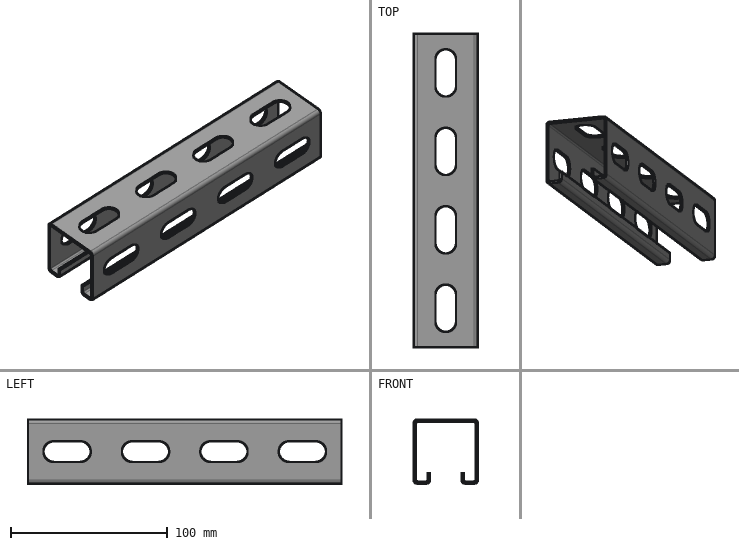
import cadquery as cq

width = 41.0
height = 41.0
length = 200.0

thickness = 1.5
bend_inner_radius = 1.0
bend_outer_radius = bend_inner_radius + thickness
mouth_width = 20.0
lip_height = 7.0

slot_length = 30.0
slot_width = 13.0
slot_pitch = 50.0
slot_count = 4

top = height / 2
bottom = -height / 2
inner_top = top - thickness
inner_bottom = bottom + thickness
lip_top = bottom + lip_height
outer_x = width / 2
inner_x = outer_x - thickness
mouth_x = mouth_width / 2
lip_back_x = mouth_x + thickness

outer_corners = [(mouth_x, bottom), (outer_x, bottom), (outer_x, top)]
inner_corners = [(inner_x, inner_top), (inner_x, inner_bottom), (lip_back_x, inner_bottom)]


def mirrored(points):
    """The (X, Z) points reflected to the left half, in reverse order."""
    return [(-x, z) for x, z in reversed(points)]


def square_channel():
    """Channel with two inturned lips and sharp bends, extruded along Y."""
    lip_end = [(lip_back_x, lip_top), (mouth_x, lip_top)]
    right_half = inner_corners + lip_end + outer_corners
    section = cq.Workplane("XZ").polyline(right_half + mirrored(right_half)).close()
    return section.extrude(length / 2, both=True)


def round_corners(body, corners, radius):
    """Fillet the lengthwise edges at the given corners and at their mirror images."""
    for x, z in corners + mirrored(corners):
        edge = body.edges("|Y").edges(cq.NearestToPointSelector((x, 0, z)))
        body = edge.fillet(radius)
    return body


def slot_row():
    """Outlines on the XY plane of a row of slots in line along Y, centred on the origin."""
    row = cq.Workplane("XY").rarray(1, slot_pitch, 1, slot_count)
    return row.slot2D(slot_length, slot_width, angle=90)


def cut_slots(body):
    """Cut the slots through the top and through both side walls."""
    top_slots = slot_row().extrude(top)
    side_slots = slot_row().extrude(outer_x, both=True).rotate((0, 0, 0), (0, 1, 0), 90)
    return body.cut(top_slots).cut(side_slots)


channel = square_channel()
channel = round_corners(channel, inner_corners, bend_inner_radius)
channel = round_corners(channel, outer_corners, bend_outer_radius)
result = cut_slots(channel)